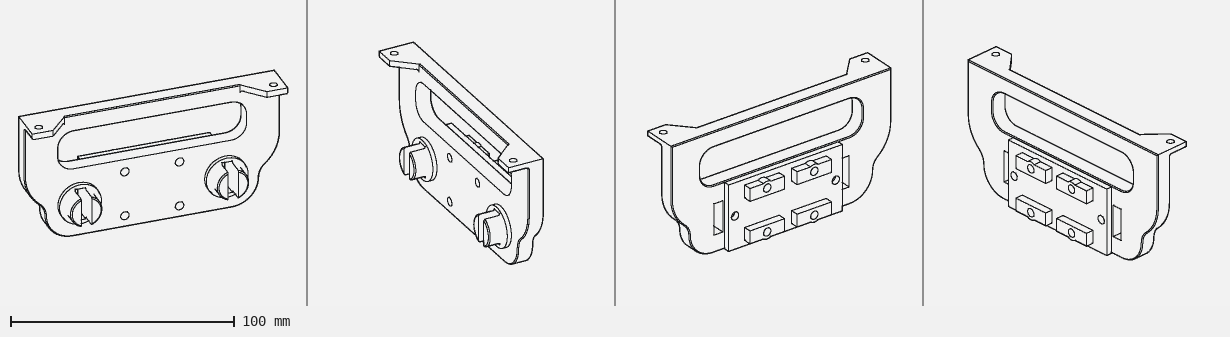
import cadquery as cq
import math


length = 122.0
height = 62.0
depth = 25.0
plate_front = 7.1
plate_back = 15.0
edge_chamfer = 0.5

lower_half_width = 51.0
shoulder_z = 34.5
shoulder_radius = 20.3
foot_radius = 12.9

grip_length = 90.0
grip_height = 19.4
grip_bottom = 34.5
grip_corner_radius = 7.5

flange_thickness = 2.9
flange_fillet = 1.0
ear_tip_inner_y = 51.0
ear_root_inner_y = 42.0
ear_hole_x = 20.0
ear_hole_y = 56.0
ear_hole_diameter = 3.4

hub_y = 35.0
hub_z = 17.0
collar_diameter = 20.0
collar_back = 17.1
hub_diameter = 15.0
hub_edge_size = 0.6
slot_width = 5.0
slot_height = 16.0

pad_width = 63.1
pad_height = grip_bottom - edge_chamfer
tab_depth = 4.0
tab_width = 19.2
tab_height = 6.6
tab_outer_margin = 2.9
boss_diameter = 7.2
bolt_y = 13.0
bolt_rise = 11.2
bolt_diameter = 4.0
locating_hole_y = 27.9
locating_hole_diameter = 4.0

bolt_points = [(side * bolt_y, hub_z + level * bolt_rise) for side in (-1, 1) for level in (-1, 1)]
hub_points = [(side * hub_y, hub_z) for side in (-1, 1)]


def plane_at(x):
    """Workplane facing +X whose local axes are Y and Z."""
    return cq.Workplane("YZ", origin=(x, 0, 0))


def side_profile():
    """Stepped outline in Y and Z, extruded from the plate front to the flange tips."""
    half = length / 2
    inset = half - lower_half_width
    drop = shoulder_z - foot_radius
    radius_sum = (inset**2 + drop**2) / (2 * inset)
    waist_radius = radius_sum - shoulder_radius
    turn = math.asin(drop / radius_sum)

    def shoulder_point(angle):
        return (
            half - shoulder_radius * (1 - math.cos(angle)),
            shoulder_z - shoulder_radius * math.sin(angle),
        )

    def waist_point(angle):
        return (
            lower_half_width + waist_radius * (1 - math.cos(angle)),
            foot_radius + waist_radius * math.sin(angle),
        )

    def foot_point(angle):
        return (
            lower_half_width - foot_radius * (1 - math.cos(angle)),
            foot_radius * (1 - math.sin(angle)),
        )

    def mirrored(point):
        return (-point[0], point[1])

    quarter = math.pi / 2
    return (
        plane_at(plate_front)
        .moveTo(-half, height)
        .lineTo(half, height)
        .lineTo(half, shoulder_z)
        .threePointArc(shoulder_point(turn / 2), shoulder_point(turn))
        .threePointArc(waist_point(turn / 2), waist_point(0))
        .threePointArc(foot_point(quarter / 2), foot_point(quarter))
        .lineTo(*mirrored(foot_point(quarter)))
        .threePointArc(mirrored(foot_point(quarter / 2)), mirrored(foot_point(0)))
        .threePointArc(mirrored(waist_point(turn / 2)), mirrored(waist_point(turn)))
        .threePointArc(mirrored(shoulder_point(turn / 2)), mirrored(shoulder_point(0)))
        .close()
        .extrude(depth - plate_front)
    )


def angle_section():
    """Upright plate and flange as one L section, filleted in its inner corner."""
    flange_bottom = height - flange_thickness
    return (
        cq.Workplane("XZ", origin=(0, length / 2, 0))
        .moveTo(plate_front, 0)
        .lineTo(plate_back, 0)
        .lineTo(plate_back, flange_bottom)
        .lineTo(depth, flange_bottom)
        .lineTo(depth, height)
        .lineTo(plate_front, height)
        .close()
        .extrude(length)
        .edges(cq.selectors.NearestToPointSelector((plate_back, 0, flange_bottom)))
        .fillet(flange_fillet)
    )


def ear_gap():
    """Space between the two flange ears, with slanted ends."""
    return (
        cq.Workplane("XY")
        .polyline(
            [
                (plate_back, -ear_root_inner_y),
                (depth, -ear_tip_inner_y),
                (depth, ear_tip_inner_y),
                (plate_back, ear_root_inner_y),
            ]
        )
        .close()
        .extrude(height)
    )


def grip_opening():
    """Rounded opening through the plate."""
    return (
        plane_at(plate_front)
        .center(0, grip_bottom + grip_height / 2)
        .rect(grip_length, grip_height)
        .extrude(plate_back - plate_front)
        .edges("|X")
        .fillet(grip_corner_radius)
    )


def chamfer_back(body):
    """Chamfer the back edges of the plate, on along the fillet and the ends of the flange."""
    below_fillet = cq.selectors.BoxSelector(
        (plate_back - edge_chamfer, -length, -height),
        (plate_back + edge_chamfer, length, height - flange_thickness - flange_fillet - edge_chamfer),
    )
    return body.edges(below_fillet).chamfer(edge_chamfer)


def rail_bevel():
    """Chamfer on the top back edge of the plate, between the ears."""
    return (
        cq.Workplane("XZ", origin=(0, ear_root_inner_y, 0))
        .moveTo(plate_back - edge_chamfer, height)
        .lineTo(plate_back, height)
        .lineTo(plate_back, height - edge_chamfer)
        .close()
        .extrude(2 * ear_root_inner_y)
    )


def make_hub():
    """Collar and hub around the X axis, with a small fillet at the root and a chamfered tip."""
    collar = plane_at(plate_back).circle(collar_diameter / 2).extrude(collar_back - plate_back)
    post = plane_at(collar_back).circle(hub_diameter / 2).extrude(depth - collar_back)
    hub = collar.union(post)
    root_edge = hub.edges(cq.selectors.RadiusNthSelector(0)).edges("<X")
    hub = root_edge.fillet(hub_edge_size)
    return hub.faces(">X").chamfer(hub_edge_size)


def hub_slots():
    """Slots that split both hubs and run on through the plate."""
    slots = plane_at(plate_front).pushPoints(hub_points)
    return slots.rect(slot_width, slot_height).extrude(depth - plate_front)


def ear_holes():
    """Vertical hole through each ear."""
    ear_points = [(ear_hole_x, side * ear_hole_y) for side in (-1, 1)]
    return (
        cq.Workplane("XY", origin=(0, 0, height - flange_thickness))
        .pushPoints(ear_points)
        .circle(ear_hole_diameter / 2)
        .extrude(flange_thickness)
    )


def bolt_holes():
    """Four holes through both the pad and the plate."""
    return plane_at(0).pushPoints(bolt_points).circle(bolt_diameter / 2).extrude(plate_back)


def locating_holes():
    """Two holes through the pad only."""
    points = [(side * locating_hole_y, hub_z) for side in (-1, 1)]
    return plane_at(0).pushPoints(points).circle(locating_hole_diameter / 2).extrude(plate_front)


def make_handle():
    """Plate with grip opening, flange ears and two slotted hubs."""
    body = chamfer_back(side_profile().intersect(angle_section()))
    body = body.cut(ear_gap()).cut(rail_bevel()).cut(grip_opening())
    body = body.faces("<X").chamfer(edge_chamfer)
    hub = make_hub()
    for y, z in hub_points:
        body = body.union(hub.translate((0, y, z)))
    return body.cut(hub_slots()).cut(bolt_holes()).cut(ear_holes())


def make_pad():
    """Sheet on the plate front, with four tabs that bulge round their bolt holes."""
    sheet = plane_at(tab_depth).rect(pad_width, pad_height).extrude(plate_front - tab_depth)
    body = sheet.translate((0, 0, pad_height / 2))
    for y, z in bolt_points:
        outward = math.copysign(1, z - hub_z)
        tab_z = z + outward * (tab_outer_margin - tab_height / 2)
        tab = plane_at(0).center(y, tab_z).rect(tab_width, tab_height).extrude(tab_depth)
        boss = plane_at(0).center(y, z).circle(boss_diameter / 2).extrude(tab_depth)
        body = body.union(tab).union(boss)
    return body.cut(bolt_holes()).cut(locating_holes())


handle = make_handle()
pad = make_pad()
result = cq.Compound.makeCompound([handle.val(), pad.val()])